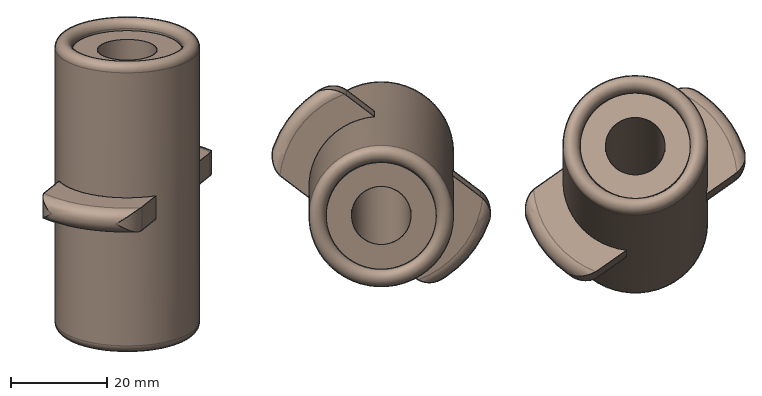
import cadquery as cq

length = 64.2
outer_diameter = 30.1
recess_diameter = 22.9
bore_diameter = 12.4
recess_depth = 2.25
rim_radius = (outer_diameter - recess_diameter) / 4

lug_span = 47.65
lug_width = 22.0
lug_thickness = 5.15
lug_corner_radius = 5.3


def make_sleeve():
    """Hollow sleeve with a recess and a half-round rim at both ends."""
    outer = outer_diameter / 2
    recess = recess_diameter / 2
    bore = bore_diameter / 2
    rim_middle = (outer + recess) / 2
    end = length / 2
    rim_base = end - rim_radius
    floor = end - recess_depth
    return (
        cq.Workplane("XZ")
        .moveTo(bore, -floor)
        .lineTo(recess, -floor)
        .lineTo(recess, -rim_base)
        .threePointArc((rim_middle, -end), (outer, -rim_base))
        .lineTo(outer, rim_base)
        .threePointArc((rim_middle, end), (recess, rim_base))
        .lineTo(recess, floor)
        .lineTo(bore, floor)
        .close()
        .revolve(360, (0, 0, 0), (0, 1, 0))
    )


def make_lugs():
    """Opposed lugs: a rounded bar trimmed by a disc with a full-round edge."""
    tip = lug_span / 2
    half_thickness = lug_thickness / 2
    disc_flat = tip - half_thickness
    disc = (
        cq.Workplane("XZ")
        .moveTo(0, -half_thickness)
        .lineTo(disc_flat, -half_thickness)
        .threePointArc((tip, 0), (disc_flat, half_thickness))
        .lineTo(0, half_thickness)
        .close()
        .revolve(360, (0, 0, 0), (0, 1, 0))
    )
    plan = (
        cq.Workplane("XY")
        .circle(tip)
        .extrude(half_thickness, both=True)
        .intersect(cq.Workplane("XY").box(lug_width, lug_span, lug_thickness))
        .edges("|Z")
        .fillet(lug_corner_radius)
    )
    bore = cq.Workplane("XY").circle(bore_diameter / 2).extrude(lug_thickness, both=True)
    return disc.intersect(plan).cut(bore)


result = make_sleeve().union(make_lugs())